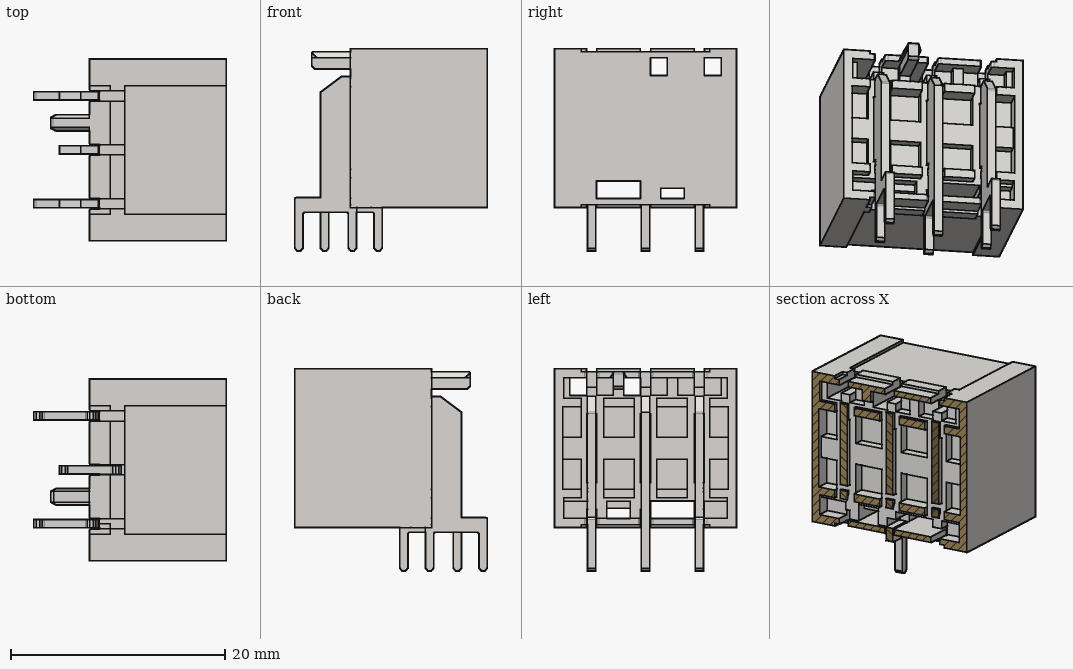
import cadquery as cq


HOUSING_LENGTH = 12.8
HOUSING_WIDTH = 17.0
HOUSING_HEIGHT = 14.85

RELIEF_DEPTH = 0.27
RELIEF_WIDTH = 12.0
BAND_START = 1.97
BAND_END = 3.3

PLATE_X = 0.95
CHAMBER_WIDTH = 15.28
WALL_THICKNESS = 0.86
CHAMBER_TOP = HOUSING_HEIGHT - WALL_THICKNESS

PIN_PITCH = 5.03
PIN_THICKNESS = 0.8
SLOT_WIDTH = 0.95
SLOT_END = BAND_END
SLOT_DEPTH = 1.72
SLOT_ENTRY_RADIUS = 0.2
TONGUE_BOTTOM = 4.2
TONGUE_TOP = HOUSING_HEIGHT - TONGUE_BOTTOM
PIN_POSITIONS = [-PIN_PITCH, 0.0, PIN_PITCH]

POCKET_DEPTH = 1.0
SIDE_POCKET_WIDTH = 15.44
POCKET_WIDTH = 2.85
POCKET_PITCH = 4.95
POCKET_OUTER_EDGE = 3.58
POCKET_HEIGHT = 2.82
BAR_THICKNESS = 0.8

WINDOW_WIDTH = 1.55
WINDOW_BOTTOM = 12.36
OPENING_TOP = 2.48
LATCH_OPENING_WIDTH = 2.18
LATCH_OPENING_TOP = 1.8

PEG_Y = PIN_PITCH / 2
PEG_LENGTH = 3.6
PEG_BOTTOM = 12.93
PEG_WIDTH = 1.0
PEG_TOP_WIDTH = 0.85
PEG_WING_WIDTH = 1.55
PEG_WING_SETBACK = 0.5
PEG_TIP_RADIUS = 0.2
PEG_TIP_CHAMFER = 0.28

BLADE_FRONT = -2.8
BLADE_REAR = 0.85
BLADE_TOP = 12.27
BLADE_SLOPE_RUN = 2.0
BLADE_SLOPE_DROP = 1.5
BLADE_CORNER_RADIUS = 0.2
LEG_WIDTH = 0.8
LEG_BOTTOM = -4.05
LEG_TIP_WIDTH = 0.3
LEG_TIP_HEIGHT = 0.28
ARM_TOP = 0.95
ARM_BOTTOM = -0.43
ARM_CORNER_RADIUS = 0.18
LEG_PITCH = 5.0
OUTER_PIN_START = -5.2
REAR_EDGE_LOW = OUTER_PIN_START + LEG_PITCH + LEG_WIDTH
BEND_START_Z = 2.7
BEND_RADIUS = 1.0
NOTCH_BOTTOM = 3.7
NOTCH_X = 0.48


def block(x0, x1, y0, y1, z0, z1):
    """Box between two corners."""
    return cq.Workplane("XY").box(x1 - x0, y1 - y0, z1 - z0, centered=False).translate((x0, y0, z0))


def centred_block(x0, x1, y_mid, width, z0, z1):
    """Box centred across Y on y_mid."""
    return block(x0, x1, y_mid - width / 2, y_mid + width / 2, z0, z1)


def mirrored_low(shape):
    """Copy of an upper feature reflected to the bottom of the housing."""
    return shape.translate((0, 0, -HOUSING_HEIGHT / 2)).mirror("XY").translate((0, 0, HOUSING_HEIGHT / 2))


def top_relief():
    """Shallow recesses in front of and behind the raised band on the top face."""
    floor = HOUSING_HEIGHT - RELIEF_DEPTH
    front = centred_block(0, BAND_START, 0, RELIEF_WIDTH, floor, HOUSING_HEIGHT)
    rear = centred_block(BAND_END, HOUSING_LENGTH, 0, RELIEF_WIDTH, floor, HOUSING_HEIGHT)
    return front.union(rear)


def slot_cut(y):
    """Slot through the top wall for one pin, with a rounded entry, running on into the plate."""
    half = SLOT_WIDTH / 2
    flare = half + SLOT_ENTRY_RADIUS
    bend = SLOT_ENTRY_RADIUS
    wall_slot = (
        cq.Workplane("XY")
        .moveTo(0, y - flare)
        .radiusArc((bend, y - half), bend)
        .lineTo(SLOT_END, y - half)
        .lineTo(SLOT_END, y + half)
        .lineTo(bend, y + half)
        .radiusArc((0, y + flare), bend)
        .close()
        .extrude(WALL_THICKNESS)
        .translate((0, 0, CHAMBER_TOP))
    )
    lower = centred_block(0, SLOT_END, y, SLOT_WIDTH, HOUSING_HEIGHT - SLOT_DEPTH, CHAMBER_TOP)
    return wall_slot.union(lower)


def window(y_start, y_end, through):
    """Window beside a pin slot, either through the housing or a blind pocket."""
    end = HOUSING_LENGTH if through else PLATE_X + POCKET_DEPTH
    return block(0, end, y_start, y_end, WINDOW_BOTTOM, CHAMBER_TOP)


def peg():
    """Keying peg with sloping wings, reaching back to the plate below the top wall."""
    top = HOUSING_HEIGHT - RELIEF_DEPTH
    core = (
        cq.Workplane("XZ")
        .moveTo(PLATE_X, PEG_BOTTOM)
        .lineTo(-PEG_LENGTH + PEG_TIP_CHAMFER, PEG_BOTTOM)
        .lineTo(-PEG_LENGTH, PEG_BOTTOM + PEG_TIP_CHAMFER)
        .lineTo(-PEG_LENGTH, top - PEG_TIP_RADIUS)
        .radiusArc((-PEG_LENGTH + PEG_TIP_RADIUS, top), PEG_TIP_RADIUS)
        .lineTo(PLATE_X, top)
        .close()
        .extrude(PEG_WING_WIDTH / 2, both=True)
    )
    section = (
        cq.Workplane("YZ")
        .polyline([
            (-PEG_WIDTH / 2, PEG_BOTTOM),
            (PEG_WIDTH / 2, PEG_BOTTOM),
            (PEG_WIDTH / 2, CHAMBER_TOP),
            (PEG_WING_WIDTH / 2, CHAMBER_TOP),
            (PEG_TOP_WIDTH / 2, top),
            (-PEG_TOP_WIDTH / 2, top),
            (-PEG_WING_WIDTH / 2, CHAMBER_TOP),
            (-PEG_WIDTH / 2, CHAMBER_TOP),
        ])
        .close()
        .extrude(PEG_LENGTH + PLATE_X)
        .translate((-PEG_LENGTH, 0, 0))
    )
    plan = (
        cq.Workplane("XY")
        .polyline([
            (PLATE_X, PEG_WING_WIDTH / 2),
            (-PEG_LENGTH + PEG_WING_SETBACK, PEG_WING_WIDTH / 2),
            (-PEG_LENGTH, PEG_WIDTH / 2),
            (-PEG_LENGTH, -PEG_WIDTH / 2),
            (-PEG_LENGTH + PEG_WING_SETBACK, -PEG_WING_WIDTH / 2),
            (PLATE_X, -PEG_WING_WIDTH / 2),
        ])
        .close()
        .extrude(HOUSING_HEIGHT)
    )
    return core.intersect(section).intersect(plan).translate((0, PEG_Y, 0))


def bars_and_pockets(housing):
    """Four columns of plate pockets, each with a bar standing out to the pin face above the pocket."""
    pocket_end = PLATE_X + POCKET_DEPTH
    pocket_top = HOUSING_HEIGHT - POCKET_OUTER_EDGE
    side_edge = SIDE_POCKET_WIDTH / 2
    columns = [(side * POCKET_PITCH / 2 - POCKET_WIDTH / 2, side * POCKET_PITCH / 2 + POCKET_WIDTH / 2)
               for side in (-1, 1)]
    inner_side_edge = POCKET_PITCH * 3 / 2 - POCKET_WIDTH / 2
    columns += [(inner_side_edge, side_edge), (-side_edge, -inner_side_edge)]
    side_span = block(0, PLATE_X, -side_edge, side_edge, POCKET_OUTER_EDGE, pocket_top)
    housing = housing.cut(side_span)
    for y0, y1 in columns:
        upper_pocket = block(PLATE_X, pocket_end, y0, y1, pocket_top - POCKET_HEIGHT, pocket_top)
        upper_bar = block(0, PLATE_X, y0, y1, pocket_top, pocket_top + BAR_THICKNESS)
        housing = housing.cut(upper_pocket).cut(mirrored_low(upper_pocket))
        housing = housing.union(upper_bar).union(mirrored_low(upper_bar))
    return housing


def lower_openings():
    """Openings above the bottom wall: one through bay, one stepped bay and two blind outer bays."""
    half_slot = SLOT_WIDTH / 2
    blind_end = PLATE_X + POCKET_DEPTH
    through_bay = block(0, HOUSING_LENGTH, half_slot - PIN_PITCH, -half_slot, WALL_THICKNESS, OPENING_TOP)
    latch_recess = centred_block(0, blind_end, PEG_Y, LATCH_OPENING_WIDTH, WALL_THICKNESS, OPENING_TOP)
    latch_hole = centred_block(0, HOUSING_LENGTH, PEG_Y, LATCH_OPENING_WIDTH, WALL_THICKNESS, LATCH_OPENING_TOP)
    openings = through_bay.union(latch_recess).union(latch_hole)
    for y0, y1 in [
        (PIN_PITCH, CHAMBER_WIDTH / 2),
        (-CHAMBER_WIDTH / 2, -PIN_PITCH - half_slot),
    ]:
        openings = openings.union(block(0, blind_end, y0, y1, WALL_THICKNESS, OPENING_TOP))
    return openings


def make_housing():
    housing = centred_block(0, HOUSING_LENGTH, 0, HOUSING_WIDTH, 0, HOUSING_HEIGHT)
    housing = housing.cut(top_relief()).cut(mirrored_low(top_relief()))
    housing = housing.cut(centred_block(0, PLATE_X, 0, CHAMBER_WIDTH, WALL_THICKNESS, CHAMBER_TOP))
    housing = bars_and_pockets(housing)
    housing = housing.cut(lower_openings())
    for y in PIN_POSITIONS:
        slot = slot_cut(y)
        housing = housing.cut(slot).cut(mirrored_low(slot))
        housing = housing.cut(centred_block(0, SLOT_END, y, SLOT_WIDTH, TONGUE_BOTTOM, TONGUE_TOP))
        inner = SLOT_WIDTH / 2
        outer = inner + WINDOW_WIDTH
        passes_through = y >= 0
        housing = housing.cut(window(y + inner, y + outer, passes_through))
        housing = housing.cut(window(y - outer, y - inner, False))
    return housing.union(peg())


def leg(x_start):
    """One solder leg with a tapered tip, starting at its front edge."""
    x_end = x_start + LEG_WIDTH
    taper = (LEG_WIDTH - LEG_TIP_WIDTH) / 2
    return (
        cq.Workplane("XZ")
        .polyline([
            (x_start, ARM_TOP),
            (x_start, LEG_BOTTOM + LEG_TIP_HEIGHT),
            (x_start + taper, LEG_BOTTOM),
            (x_end - taper, LEG_BOTTOM),
            (x_end, LEG_BOTTOM + LEG_TIP_HEIGHT),
            (x_end, ARM_TOP),
        ])
        .close()
        .extrude(PIN_THICKNESS / 2, both=True)
    )


def rounded(pin, x, z, radius):
    """Round the edge across the pin thickness at one corner of its profile."""
    return pin.edges("|Y").edges(cq.NearestToPointSelector((x, 0, z))).fillet(radius)


def make_pin(leg_start):
    """Blade with a tongue seated in the plate behind it, carried on two legs joined by an arm."""
    bend_rise = (BEND_RADIUS**2 - (BEND_RADIUS - (BLADE_REAR - REAR_EDGE_LOW))**2)**0.5
    blade = (
        cq.Workplane("XZ")
        .moveTo(BLADE_FRONT, ARM_BOTTOM)
        .lineTo(REAR_EDGE_LOW, ARM_BOTTOM)
        .lineTo(REAR_EDGE_LOW, BEND_START_Z)
        .radiusArc((BLADE_REAR, BEND_START_Z + bend_rise), BEND_RADIUS)
        .lineTo(BLADE_REAR, NOTCH_BOTTOM)
        .lineTo(NOTCH_X, NOTCH_BOTTOM)
        .lineTo(NOTCH_X, TONGUE_BOTTOM)
        .lineTo(SLOT_END, TONGUE_BOTTOM)
        .lineTo(SLOT_END, TONGUE_TOP)
        .lineTo(BLADE_REAR, TONGUE_TOP)
        .lineTo(BLADE_REAR, BLADE_TOP)
        .lineTo(BLADE_FRONT + BLADE_SLOPE_RUN, BLADE_TOP)
        .lineTo(BLADE_FRONT, BLADE_TOP - BLADE_SLOPE_DROP)
        .close()
        .extrude(PIN_THICKNESS / 2, both=True)
    )
    leg_end = leg_start + LEG_PITCH + LEG_WIDTH
    arm = centred_block(leg_start, leg_end, 0, PIN_THICKNESS, ARM_BOTTOM, ARM_TOP)
    pin = blade.union(arm).union(leg(leg_start)).union(leg(leg_start + LEG_PITCH))
    return rounded(pin, leg_start + LEG_PITCH, ARM_BOTTOM, ARM_CORNER_RADIUS)


def make_outer_pin():
    """Pin whose front leg stands ahead of the blade."""
    pin = make_pin(OUTER_PIN_START)
    pin = rounded(pin, OUTER_PIN_START + LEG_WIDTH, ARM_BOTTOM, ARM_CORNER_RADIUS)
    pin = rounded(pin, OUTER_PIN_START, ARM_TOP, ARM_CORNER_RADIUS)
    return rounded(pin, BLADE_FRONT, BLADE_TOP - BLADE_SLOPE_DROP, BLADE_CORNER_RADIUS)


housing = make_housing()
middle_pin = make_pin(BLADE_FRONT)
outer_pins = [make_outer_pin().translate((0, y, 0)) for y in (-PIN_PITCH, PIN_PITCH)]

result = cq.Compound.makeCompound([
    housing.val(),
    middle_pin.val(),
    *[pin.val() for pin in outer_pins],
])